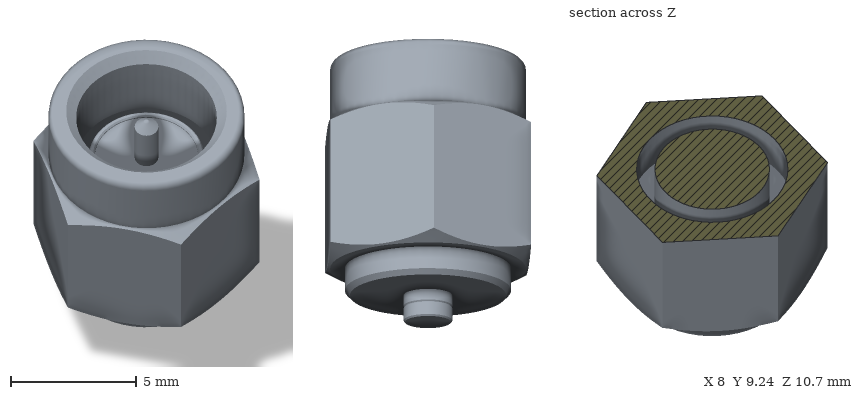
import cadquery as cq
import math


total_height = 10.7
flange_bottom = 1.1
hex_bottom = 2.2
hex_top = 8.1

hex_across_flats = 8.0
half_hex_turn = 30.0
hex_across_corners = hex_across_flats / math.cos(math.radians(half_hex_turn))
collar_radius = 3.91
collar_rounding = 0.3
hex_cone_angle = 30.0
corner_clearance = 0.21

flange_radius = 3.32
flange_chamfer = 0.2
tail_radius = 0.97
tail_chamfer = 0.06
tail_groove_height = 0.61
tail_groove_half_width = 0.05
tail_groove_depth = 0.04

bore_radius = 2.8
bore_chamfer = 0.4
bore_depth = 3.1
relief_radius = bore_radius + bore_chamfer
relief_floor = 5.48
sleeve_top = 7.98
sleeve_outer_radius = 2.29
sleeve_inner_radius = 2.07
sleeve_outer_chamfer = 0.05
sleeve_inner_chamfer = 0.06
insulator_recess = 0.11

pin_radius = 0.47
pin_tip_height = 10.18
pin_tip_length = 0.43


def cylinder(radius, bottom, top):
    """Solid cylinder on the Z axis between two heights."""
    return cq.Workplane("XY").workplane(offset=bottom).circle(radius).extrude(top - bottom)


def revolved(profile):
    """Closed (radius, height) outline turned around the Z axis."""
    return cq.Workplane("XZ").polyline(profile).close().revolve(360, (0, 0, 0), (0, 1, 0))


def hex_body():
    """Hexagon with corners on +Y and -Y, both ends turned down by a shallow cone."""
    prism = (
        cq.Workplane("XY")
        .workplane(offset=hex_bottom)
        .polygon(6, hex_across_corners)
        .extrude(hex_top - hex_bottom)
        .rotate((0, 0, 0), (0, 0, 1), half_hex_turn)
    )
    envelope_radius = hex_across_corners / 2 + corner_clearance
    cone_drop = (envelope_radius - collar_radius) * math.tan(math.radians(hex_cone_angle))
    envelope = revolved([
        (0, hex_bottom),
        (collar_radius, hex_bottom),
        (envelope_radius, hex_bottom + cone_drop),
        (envelope_radius, hex_top - cone_drop),
        (collar_radius, hex_top),
        (0, hex_top),
    ])
    return prism.intersect(envelope)


def collar():
    """Round front end of the nut with a rounded outer rim."""
    return cylinder(collar_radius, hex_bottom, total_height).faces(">Z").edges().fillet(collar_rounding)


def rear_flange():
    return cylinder(flange_radius, flange_bottom, hex_top).faces("<Z").chamfer(flange_chamfer)


def tail():
    """Small rear contact with a chamfered end and a V-groove around it."""
    body = cylinder(tail_radius, 0, hex_bottom).faces("<Z").chamfer(tail_chamfer)
    groove = revolved([
        (tail_radius, tail_groove_height - tail_groove_half_width),
        (tail_radius - tail_groove_depth, tail_groove_height),
        (tail_radius, tail_groove_height + tail_groove_half_width),
    ])
    return body.cut(groove)


def bore():
    """Socket opening with a lead-in chamfer and a wider relief around the sleeve."""
    chamfer_bottom = total_height - bore_chamfer
    bore_bottom = total_height - bore_depth
    relief_shoulder = bore_bottom - (relief_radius - bore_radius)
    return revolved([
        (0, relief_floor),
        (relief_radius, relief_floor),
        (relief_radius, relief_shoulder),
        (bore_radius, bore_bottom),
        (bore_radius, chamfer_bottom),
        (bore_radius + bore_chamfer, total_height),
        (0, total_height),
    ])


def sleeve():
    """Inner sleeve with both rim edges chamfered and the insulator face slightly sunk."""
    insulator_top = sleeve_top - insulator_recess
    return revolved([
        (0, relief_floor),
        (sleeve_outer_radius, relief_floor),
        (sleeve_outer_radius, sleeve_top - sleeve_outer_chamfer),
        (sleeve_outer_radius - sleeve_outer_chamfer, sleeve_top),
        (sleeve_inner_radius + sleeve_inner_chamfer, sleeve_top),
        (sleeve_inner_radius, sleeve_top - sleeve_inner_chamfer),
        (sleeve_inner_radius, insulator_top),
        (0, insulator_top),
    ])


def centre_pin():
    """Pin with a conical point, rooted at the foot of the sleeve."""
    return revolved([
        (0, relief_floor),
        (pin_radius, relief_floor),
        (pin_radius, pin_tip_height - pin_tip_length),
        (0, pin_tip_height),
    ])


nut = hex_body().union(collar()).union(rear_flange()).union(tail()).cut(bore())
result = nut.union(sleeve()).union(centre_pin())